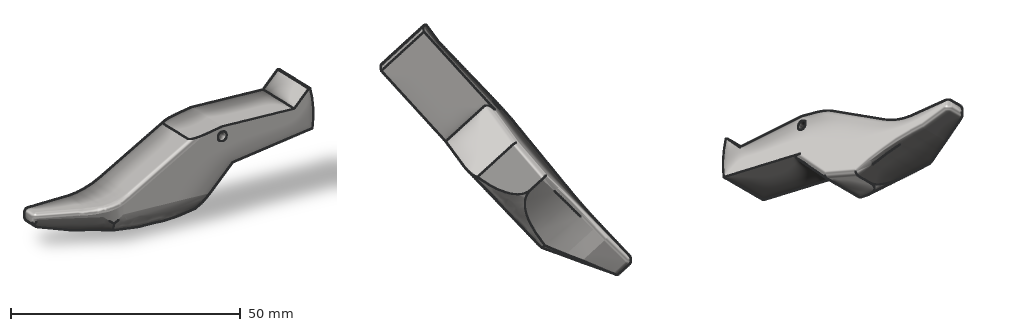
import cadquery as cq
import math

width = 12.7
length = 67.0
height = 25.7
edge_radius = 1.3

pivot_y = 43.55
pivot_z = 19.5
pivot_diameter = 2.3
back_radius = length - pivot_y
back_bottom_z = 16.15

hook_point = (65.8, height)
hook_root = (62.0, 21.85)
arm_end = (pivot_y, 21.85)
shoulder = (35.5, 20.2)
slope_end = (19.7, 11.1)
nose_start = (9.4, 8.5)
tip_top = (0.0, 8.1)
tip_bottom = (0.0, 5.0)
nose_bottom = (7.9, 3.5)
sole_end = (11.4, 3.35)
sole_middle = (18.75, 2.5)
heel = (27.7, 0.0)
heel_back = (37.2, 3.5)
arm_bottom = (46.2, 12.7)

taper_start_y = 15.8
tip_width = 4.8
taper_blend_radius = 10.05

belly_width = 8.05
belly_height = 6.7


def back_point(z):
    """Point of the hook's back arc at height z."""
    return (pivot_y + math.sqrt(back_radius**2 - (z - pivot_z) ** 2), z)


def lever_body():
    return (
        cq.Workplane("YZ")
        .moveTo(*hook_point)
        .lineTo(*hook_root)
        .lineTo(*arm_end)
        .lineTo(*shoulder)
        .lineTo(*slope_end)
        .tangentArcPoint(nose_start, relative=False)
        .lineTo(*tip_top)
        .lineTo(*tip_bottom)
        .lineTo(*nose_bottom)
        .lineTo(*sole_end)
        .threePointArc(sole_middle, heel)
        .lineTo(*heel_back)
        .lineTo(*arm_bottom)
        .lineTo(*back_point(back_bottom_z))
        .threePointArc(back_point(pivot_z), back_point(height))
        .close()
        .extrude(width)
    )


def plan_outline():
    """Tall prism that tapers the +X side toward the tip."""
    return (
        cq.Workplane("XY")
        .polyline([(0, 0), (tip_width, 0), (width, taper_start_y), (width, length), (0, length)])
        .close()
        .extrude(height)
        .edges(cq.selectors.NearestToPointSelector((width, taper_start_y, height / 2)))
        .fillet(taper_blend_radius)
    )


def belly_cutter():
    """Corner strip outside a quarter ellipse, running along Y."""
    left = width - belly_width
    return (
        cq.Workplane("XZ")
        .moveTo(left, 0)
        .ellipseArc(belly_width, belly_height, -90, 0, startAtCurrent=True)
        .lineTo(width, 0)
        .close()
        .extrude(-length)
    )


def taper_belly_cutter():
    """The same strip, turned about the start of the taper to follow it to the tip."""
    taper_angle = math.degrees(math.atan2(width - tip_width, taper_start_y))
    strip = belly_cutter().translate((0, taper_start_y - length, 0))
    return strip.rotate((width, taper_start_y, 0), (width, taper_start_y, 1), -taper_angle)


def round_edges(body):
    """Round the -X outline ahead of the arm, the tip and the +X edges of the upper face."""
    margin = 0.7
    outside = width + margin
    arm_front_y = pivot_y - margin
    nose_side_z = nose_start[1] - 2 * margin
    box = cq.selectors.BoxSelector
    left_outline = box((-margin, -margin, -margin), (margin, arm_front_y, shoulder[1]))
    tip_face = box((-margin, -margin, -margin), (outside, margin, height))
    upper_right = box((width / 2 + margin / 2, -margin, nose_side_z), (outside, shoulder[0], shoulder[1]))
    return body.edges(left_outline + tip_face + upper_right).fillet(edge_radius)


def pivot_hole():
    return (
        cq.Workplane("YZ")
        .center(pivot_y, pivot_z)
        .circle(pivot_diameter / 2)
        .extrude(width)
    )


lever = round_edges(lever_body().intersect(plan_outline()))
result = lever.cut(belly_cutter()).cut(taper_belly_cutter()).cut(pivot_hole())